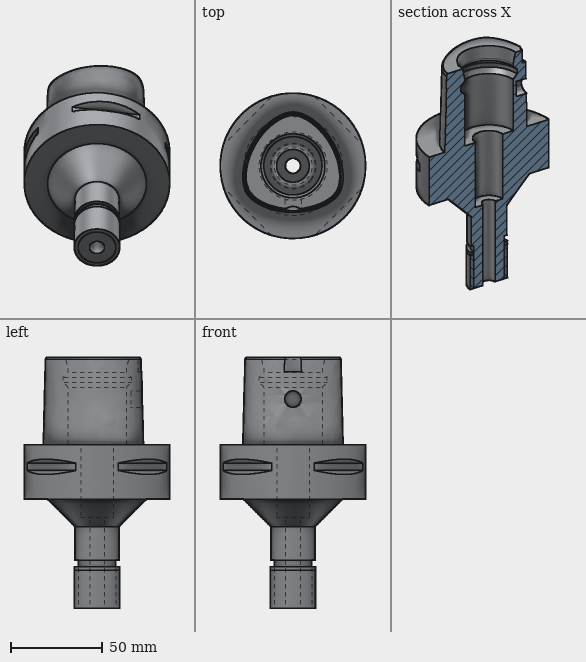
import cadquery as cq
import math

SHANK_HEIGHT = 48.0
FLANGE_THICKNESS = 30.0
CONE_HEIGHT = 15.0
BARREL_LENGTH = 18.5
NOSE_LENGTH = 45.0
NUT_LENGTH = 21.0
RING_THICKNESS = 2.0
FLANGE_BOTTOM = -FLANGE_THICKNESS
BARREL_TOP = FLANGE_BOTTOM - CONE_HEIGHT
BARREL_BOTTOM = BARREL_TOP - BARREL_LENGTH
NOSE_BOTTOM = BARREL_TOP - NOSE_LENGTH
NUT_TOP = NOSE_BOTTOM + NUT_LENGTH

FLANGE_RADIUS = 40.0
BARREL_RADIUS = 12.15
CONE_TOP_RADIUS = BARREL_RADIUS + CONE_HEIGHT
NOSE_RADIUS = 10.4
NUT_RADIUS = 12.5

SHANK_BASE_RADIUS = 27.6
SHANK_LOBE = 2.0
SHANK_TAPER = 1 / 40
SHANK_CHAMFER_HEIGHT = 1.25
SHANK_CHAMFER_WIDTH = 0.75
OUTLINE_POINTS = 48

MOUTH_RADIUS = 17.6
BORE_RADIUS = 16.0
MOUTH_DEPTH = 6.8
LIP_LENGTH = 1.5
GROOVE_DEPTH = 2.7
GROOVE_FLOOR = 2.7
BORE_FLOOR_Z = 0.0
THREAD_BORE_RADIUS = 9.0
THREAD_BORE_FLOOR_Z = BARREL_TOP + 5.0
THROUGH_RADIUS = 4.1

SIDE_HOLE_RADIUS = 4.5
SIDE_HOLE_Z = 25.0
SIDE_HOLE_FLOOR_Y = -18.5
NOTCH_RADIUS = 6.5
NOTCH_HEIGHT = 8.0
NOTCH_INNER_Y = -22.3

GRIP_COUNT = 4
GRIP_Z = -12.2
GRIP_FLOOR_DISTANCE = 35.3
GRIP_FLOOR_HALF_HEIGHT = 2.0
GRIP_RIM_HALF_HEIGHT = 4.2


def disc(radius, bottom, top):
    return cq.Workplane("XY").workplane(offset=bottom).circle(radius).extrude(top - bottom)


def shank_outline(mean_radius, z):
    """Closed three-lobed curve of constant width with one lobe towards +Y."""
    points = []
    for i in range(OUTLINE_POINTS):
        angle = 2 * math.pi * i / OUTLINE_POINTS
        reach = mean_radius - SHANK_LOBE * math.sin(3 * angle)
        slope = -3 * SHANK_LOBE * math.cos(3 * angle)
        x = reach * math.cos(angle) - slope * math.sin(angle)
        y = reach * math.sin(angle) + slope * math.cos(angle)
        points.append(cq.Vector(x, y, z))
    return cq.Wire.assembleEdges([cq.Edge.makeSpline(points, periodic=True)])


def make_shank():
    chamfer_z = SHANK_HEIGHT - SHANK_CHAMFER_HEIGHT
    chamfer_radius = SHANK_BASE_RADIUS - SHANK_TAPER * chamfer_z
    base = shank_outline(SHANK_BASE_RADIUS, 0)
    shoulder = shank_outline(chamfer_radius, chamfer_z)
    tip = shank_outline(chamfer_radius - SHANK_CHAMFER_WIDTH, SHANK_HEIGHT)
    taper = cq.Solid.makeLoft([base, shoulder], True)
    chamfer = cq.Solid.makeLoft([shoulder, tip], True)
    return cq.Workplane(taper).union(cq.Workplane(chamfer))


def make_turned_body():
    profile = [
        (0, 0),
        (FLANGE_RADIUS, 0),
        (FLANGE_RADIUS, FLANGE_BOTTOM),
        (CONE_TOP_RADIUS, FLANGE_BOTTOM),
        (BARREL_RADIUS, BARREL_TOP),
        (BARREL_RADIUS, BARREL_BOTTOM),
        (NOSE_RADIUS, BARREL_BOTTOM),
        (NOSE_RADIUS, NOSE_BOTTOM),
        (0, NOSE_BOTTOM),
    ]
    return cq.Workplane("XZ").polyline(profile).close().revolve(360, (0, 0), (0, 1))


def make_bore():
    lip_top = SHANK_HEIGHT - MOUTH_DEPTH
    lip_bottom = lip_top - LIP_LENGTH
    groove_top = lip_bottom - GROOVE_DEPTH
    groove_bottom = groove_top - GROOVE_FLOOR
    groove_radius = BORE_RADIUS + GROOVE_DEPTH
    profile = [
        (0, SHANK_HEIGHT),
        (MOUTH_RADIUS, SHANK_HEIGHT),
        (BORE_RADIUS, lip_top),
        (BORE_RADIUS, lip_bottom),
        (groove_radius, groove_top),
        (groove_radius, groove_bottom),
        (BORE_RADIUS, groove_bottom - GROOVE_DEPTH),
        (BORE_RADIUS, BORE_FLOOR_Z),
        (THREAD_BORE_RADIUS, BORE_FLOOR_Z),
        (THREAD_BORE_RADIUS, THREAD_BORE_FLOOR_Z),
        (THROUGH_RADIUS, THREAD_BORE_FLOOR_Z),
        (THROUGH_RADIUS, NOSE_BOTTOM),
        (0, NOSE_BOTTOM),
    ]
    return cq.Workplane("XZ").polyline(profile).close().revolve(360, (0, 0), (0, 1))


def make_side_hole():
    hole = cq.Workplane("XZ", origin=(0, SIDE_HOLE_FLOOR_Y, 0)).center(0, SIDE_HOLE_Z)
    return hole.circle(SIDE_HOLE_RADIUS).extrude(FLANGE_RADIUS + SIDE_HOLE_FLOOR_Y)


def make_notch():
    notch = disc(NOTCH_RADIUS, SHANK_HEIGHT - NOTCH_HEIGHT, SHANK_HEIGHT)
    return notch.translate((0, NOTCH_INNER_Y - NOTCH_RADIUS, 0))


def make_grip_groove(angle):
    section = [
        (GRIP_FLOOR_DISTANCE, GRIP_Z - GRIP_FLOOR_HALF_HEIGHT),
        (FLANGE_RADIUS, GRIP_Z - GRIP_RIM_HALF_HEIGHT),
        (FLANGE_RADIUS, GRIP_Z + GRIP_RIM_HALF_HEIGHT),
        (GRIP_FLOOR_DISTANCE, GRIP_Z + GRIP_FLOOR_HALF_HEIGHT),
    ]
    groove = cq.Workplane("XZ").polyline(section).close().extrude(FLANGE_RADIUS, both=True)
    return groove.rotate((0, 0, 0), (0, 0, 1), angle)


def make_holder():
    body = make_turned_body().union(make_shank())
    body = body.cut(make_bore()).cut(make_side_hole()).cut(make_notch())
    for i in range(GRIP_COUNT):
        body = body.cut(make_grip_groove(45 + i * 360 / GRIP_COUNT))
    return body


def make_collar(bottom, top):
    """Plain sleeve that fits around the nose of the holder."""
    return disc(NUT_RADIUS, bottom, top).cut(disc(NOSE_RADIUS, bottom, top))


holder = make_holder()
nut = make_collar(NOSE_BOTTOM, NUT_TOP)
ring = make_collar(NUT_TOP, NUT_TOP + RING_THICKNESS)

result = cq.Compound.makeCompound([holder.val(), nut.val(), ring.val()])